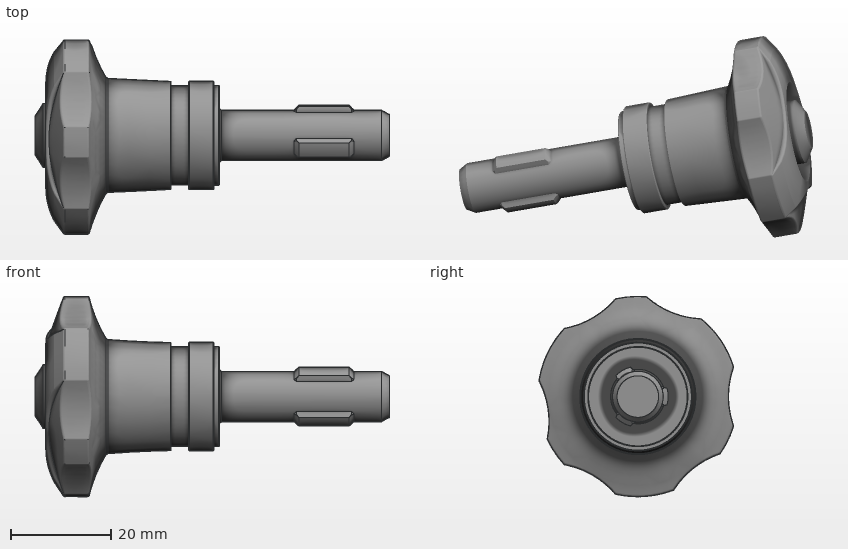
import cadquery as cq
import math


BUTTON_FACE_RADIUS = 3.8
BUTTON_RADIUS = 6.4
BUTTON_CHAMFER_X = 1.67

KNOB_RADIUS = 20.0
KNOB_FRONT_X = 2.15
DISH_RADIUS = 10.1
DISH_DEPTH = 1.6
DISH_FLOOR_X = KNOB_FRONT_X + DISH_DEPTH
BEVEL_START_X = 3.85
BEVEL_START_RADIUS = 17.1
RIM_FRONT_X = 5.8
RIM_BACK_X = 10.8
ARM_BACK_X = 9.8
KNOB_BACK_X = 14.2
KNOB_BACK_RADIUS = 11.6
BACK_CURVE_X = 12.2
BACK_CURVE_RADIUS = 15.6

SCOOP_COUNT = 3
SCOOP_TILT = 4.0
SCOOP_EDGE_DISTANCE = 11.75
SCOOP_EDGE_RADIUS = 34.0
SCOOP_START_X = 2.8
SCOOP_CURVE_X = 4.2
SCOOP_CURVE_RADIUS = 15.8
CREST_FILLET = 0.4
ARM_OVERRUN = 2.0

SCALLOP_OFFSET = 26.0
SCALLOP_FLOOR = 18.1
SCALLOP_RADIUS = 17.6
RIM_EDGE_FILLET = 0.45
RIM_EDGE_MIN_RADIUS = 17.5

SLEEVE_START_X = 14.6
SLEEVE_START_RADIUS = 11.4
SLEEVE_END_X = 27.2
SLEEVE_END_RADIUS = 10.8
GROOVE_RADIUS = 9.95
COLLAR_START_X = 30.7
COLLAR_END_X = 35.7
COLLAR_RADIUS = 10.85
SHOULDER_RADIUS = 10.0
SHOULDER_X = 36.8
EDGE_BREAK = 0.15

SHANK_RADIUS = 5.05
SHANK_ROOT_CHAMFER = 0.4
SHANK_END_X = 70.8
SHANK_CHAMFER_LENGTH = 1.65
SHANK_CHAMFER_DEPTH = 0.9

KEY_COUNT = 3
KEY_START_X = 51.7
KEY_LENGTH = 12.0
KEY_TOP_RADIUS = 6.05
KEY_ROOT_RADIUS = 4.0
KEY_ROOT_WIDTH = 4.42
KEY_ROOT_OVERRUN = 0.35
KEY_TOP_OVERRUN = 0.1
KEY_CORNER_CHAMFER = 0.75
KEY_SIDE_TAPER = 17.0
KEY_OFFSET_ANGLE = 30.0


def around_axis(shape, angle):
    """Turn a shape about the X axis; the angle runs from +Z toward -Y."""
    return shape.rotate((0, 0, 0), (1, 0, 0), angle)


def revolve_about_x(profile):
    return profile.close().revolve(360, (0, 0, 0), (1, 0, 0))


def dome():
    """Dished, convex front whose bevel runs on past the rim, so that the arms can be trimmed to it."""
    rise = BEVEL_START_X - KNOB_FRONT_X
    run = BEVEL_START_RADIUS - DISH_RADIUS
    dome_radius = (run**2 + rise**2) / (2 * rise)
    half_angle = math.atan2(rise, run)
    middle_x = KNOB_FRONT_X + dome_radius * (1 - math.cos(half_angle))
    middle_radius = DISH_RADIUS + dome_radius * math.sin(half_angle)
    bevel_slope = (RIM_FRONT_X - BEVEL_START_X) / (KNOB_RADIUS - BEVEL_START_RADIUS)
    outer_x = RIM_FRONT_X + bevel_slope * ARM_OVERRUN
    outer_radius = KNOB_RADIUS + ARM_OVERRUN
    return revolve_about_x(
        cq.Workplane("XY")
        .moveTo(RIM_BACK_X, 0)
        .lineTo(DISH_FLOOR_X, 0)
        .lineTo(DISH_FLOOR_X, BUTTON_RADIUS)
        .lineTo(KNOB_FRONT_X, DISH_RADIUS)
        .threePointArc((middle_x, middle_radius), (BEVEL_START_X, BEVEL_START_RADIUS))
        .lineTo(outer_x, outer_radius)
        .lineTo(RIM_BACK_X, outer_radius)
    )


def scoop_level_disc():
    """Disc whose concave front lies at the level of the scoop floors."""
    return revolve_about_x(
        cq.Workplane("XY")
        .moveTo(RIM_BACK_X, 0)
        .lineTo(DISH_FLOOR_X, 0)
        .lineTo(DISH_FLOOR_X, DISH_RADIUS)
        .lineTo(SCOOP_START_X, SCOOP_EDGE_DISTANCE)
        .threePointArc((SCOOP_CURVE_X, SCOOP_CURVE_RADIUS), (RIM_FRONT_X, KNOB_RADIUS))
        .lineTo(RIM_BACK_X, KNOB_RADIUS)
    )


def knob_back():
    return revolve_about_x(
        cq.Workplane("XY")
        .moveTo(RIM_BACK_X, 0)
        .lineTo(RIM_BACK_X, KNOB_RADIUS)
        .threePointArc((BACK_CURVE_X, BACK_CURVE_RADIUS), (KNOB_BACK_X, KNOB_BACK_RADIUS))
        .lineTo(KNOB_BACK_X, 0)
    )


def scallop_cutter():
    return (
        cq.Workplane("YZ")
        .center(0, SCALLOP_FLOOR + SCALLOP_RADIUS)
        .circle(SCALLOP_RADIUS)
        .extrude(KNOB_BACK_X)
    )


def scoop_angles():
    return [SCOOP_TILT + index * 360.0 / SCOOP_COUNT for index in range(SCOOP_COUNT)]


def distance_from_axis(point):
    return math.hypot(point.y, point.z)


def cut_scallops(body):
    for angle in scoop_angles():
        for side in (-1, 1):
            body = body.cut(around_axis(scallop_cutter(), angle + side * SCALLOP_OFFSET))
    return body


def scooped_knob():
    """Knob at scoop level all round, scalloped and rounded along all its rim edges."""
    body = cut_scallops(scoop_level_disc().union(knob_back()))
    rim_edges = [
        edge for edge in body.edges().vals()
        if distance_from_axis(edge.positionAt(0.5)) > RIM_EDGE_MIN_RADIUS
    ]
    return body.newObject(rim_edges).fillet(RIM_EDGE_FILLET)


def dome_arms():
    """Three-armed dome left between the curved scoop edges, with rounded crests."""
    arms = dome()
    for angle in scoop_angles():
        edge_cutter = (
            cq.Workplane("YZ")
            .center(0, SCOOP_EDGE_DISTANCE + SCOOP_EDGE_RADIUS)
            .circle(SCOOP_EDGE_RADIUS)
            .extrude(RIM_BACK_X)
        )
        arms = arms.cut(around_axis(edge_cutter, angle))
    crests = [
        edge for edge in arms.edges().vals()
        if edge.geomType() == "BSPLINE" and edge.positionAt(0.5).x < RIM_FRONT_X
    ]
    return arms.newObject(crests).fillet(CREST_FILLET)


def trimmed_arms():
    """Dome arms trimmed to the scalloped rim, with their front rim edges rounded."""
    rim_band = cq.Workplane("YZ").circle(KNOB_RADIUS).extrude(ARM_BACK_X)
    rim_band = cut_scallops(rim_band).edges("|X").fillet(RIM_EDGE_FILLET)
    arms = dome_arms().intersect(rim_band)
    rim_middle_x = (RIM_FRONT_X + RIM_BACK_X) / 2
    front_rim_edges = [
        edge for edge in arms.edges("%CIRCLE").vals()
        if edge.positionAt(0.5).x < rim_middle_x
        and distance_from_axis(edge.positionAt(0.5)) > KNOB_RADIUS - RIM_EDGE_FILLET
    ]
    return arms.newObject(front_rim_edges).fillet(RIM_EDGE_FILLET)


def knob():
    return scooped_knob().union(trimmed_arms())


def button():
    return revolve_about_x(
        cq.Workplane("XY")
        .moveTo(0, 0)
        .lineTo(0, BUTTON_FACE_RADIUS)
        .lineTo(BUTTON_CHAMFER_X, BUTTON_RADIUS)
        .lineTo(RIM_FRONT_X, BUTTON_RADIUS)
        .lineTo(RIM_FRONT_X, 0)
    )


def sleeve_and_shank():
    return revolve_about_x(
        cq.Workplane("XY")
        .moveTo(RIM_BACK_X, 0)
        .lineTo(RIM_BACK_X, KNOB_BACK_RADIUS)
        .lineTo(KNOB_BACK_X, KNOB_BACK_RADIUS)
        .lineTo(SLEEVE_START_X, SLEEVE_START_RADIUS)
        .lineTo(SLEEVE_END_X - EDGE_BREAK, SLEEVE_END_RADIUS)
        .lineTo(SLEEVE_END_X, SLEEVE_END_RADIUS - EDGE_BREAK)
        .lineTo(SLEEVE_END_X, GROOVE_RADIUS)
        .lineTo(COLLAR_START_X, GROOVE_RADIUS)
        .lineTo(COLLAR_START_X, COLLAR_RADIUS - EDGE_BREAK)
        .lineTo(COLLAR_START_X + EDGE_BREAK, COLLAR_RADIUS)
        .lineTo(COLLAR_END_X - EDGE_BREAK, COLLAR_RADIUS)
        .lineTo(COLLAR_END_X, COLLAR_RADIUS - EDGE_BREAK)
        .lineTo(COLLAR_END_X, SHOULDER_RADIUS)
        .lineTo(SHOULDER_X - EDGE_BREAK, SHOULDER_RADIUS)
        .lineTo(SHOULDER_X, SHOULDER_RADIUS - EDGE_BREAK)
        .lineTo(SHOULDER_X, SHANK_RADIUS + SHANK_ROOT_CHAMFER)
        .lineTo(SHOULDER_X + SHANK_ROOT_CHAMFER, SHANK_RADIUS)
        .lineTo(SHANK_END_X - SHANK_CHAMFER_LENGTH, SHANK_RADIUS)
        .lineTo(SHANK_END_X, SHANK_RADIUS - SHANK_CHAMFER_DEPTH)
        .lineTo(SHANK_END_X, 0)
    )


def key():
    """Key along +Z: round-topped, with 45 degree ends, leaning sides and cut corners."""
    end_x = KEY_START_X + KEY_LENGTH
    end_slope = KEY_TOP_RADIUS - SHANK_RADIUS
    ring = revolve_about_x(
        cq.Workplane("XY")
        .moveTo(KEY_START_X, 0)
        .lineTo(KEY_START_X, SHANK_RADIUS)
        .lineTo(KEY_START_X + end_slope, KEY_TOP_RADIUS)
        .lineTo(end_x - end_slope, KEY_TOP_RADIUS)
        .lineTo(end_x, SHANK_RADIUS)
        .lineTo(end_x, 0)
    )
    half_length = KEY_LENGTH / 2 + KEY_ROOT_OVERRUN
    half_width = KEY_ROOT_WIDTH / 2
    straight_x = half_length - KEY_CORNER_CHAMFER
    straight_y = half_width - KEY_CORNER_CHAMFER
    wedge = (
        cq.Workplane("XY")
        .workplane(offset=KEY_ROOT_RADIUS)
        .center(KEY_START_X + KEY_LENGTH / 2, 0)
        .polyline([
            (-half_length, -straight_y),
            (-straight_x, -half_width),
            (straight_x, -half_width),
            (half_length, -straight_y),
            (half_length, straight_y),
            (straight_x, half_width),
            (-straight_x, half_width),
            (-half_length, straight_y),
        ])
        .close()
        .extrude(KEY_TOP_RADIUS - KEY_ROOT_RADIUS + KEY_TOP_OVERRUN, taper=KEY_SIDE_TAPER)
    )
    return ring.intersect(wedge)


result = knob().union(button()).union(sleeve_and_shank())
for index in range(KEY_COUNT):
    result = result.union(around_axis(key(), KEY_OFFSET_ANGLE + index * 360.0 / KEY_COUNT))